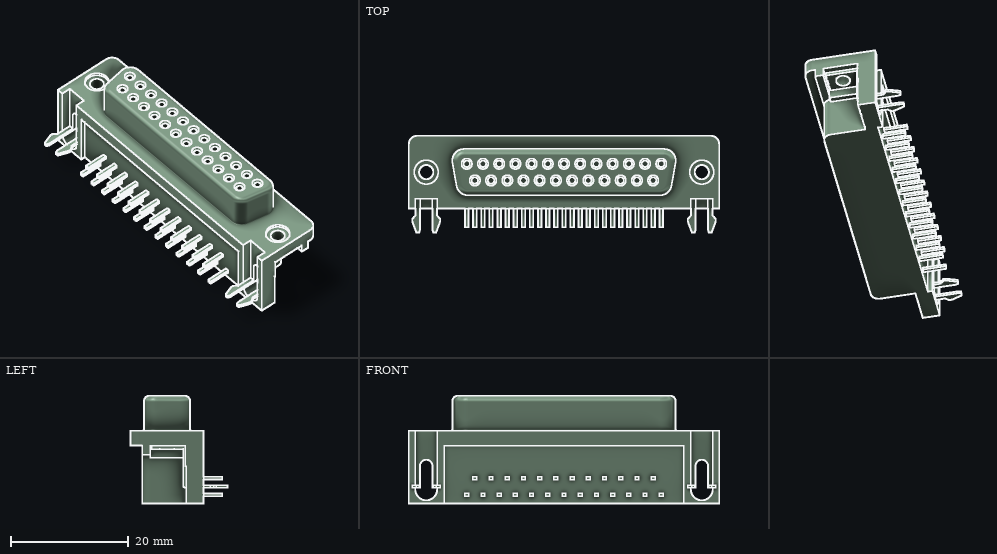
import cadquery as cq
import math


LENGTH = 53.1
DEPTH = 12.5
HEIGHT = 12.5
Y_FRONT = -DEPTH / 2
Y_BACK = DEPTH / 2
FLANGE_UNDERSIDE = 9.95
FLANGE_CORNER_RADIUS = 1.5
WALL_THICKNESS = 3.0
WALL_BACK = Y_FRONT + WALL_THICKNESS
WALL_STEP = 0.1
WALL_STEP_Z = 6.4
CORE_LENGTH = 40.9
CORE_BACK = 4.25
CORE_CORNER_RADIUS = 1.4
RIB_BOTTOM = 8.4
RIB_FRONT = CORE_BACK - CORE_CORNER_RADIUS
LEDGE_REACH = 1.0
LEDGE_LENGTH = CORE_LENGTH + 2 * LEDGE_REACH
LEDGE_BOTTOM = 7.85
RECESS_DEPTH = 0.8

TOTAL_HEIGHT = 18.5
SHELL_HALF_DEPTH = 3.96
SHELL_HALF_LENGTH = 19.48
SHELL_SIDE_ANGLE = 10
SHELL_CORNER_RADIUS = 2.0
SHELL_TOP_RADIUS = 1.0
SHELL_BASE_RADIUS = 0.2

PITCH = 2.77
ROW_SPACING = 2.84
BACK_ROW_COUNT = 13
FRONT_ROW_COUNT = 12
CONTACT_MOUTH_DIAMETER = 1.8
CONTACT_BORE_DIAMETER = 1.1
CONTACT_MOUTH_DEPTH = 0.35
CONTACT_DEPTH = 3.0
PIN_WIDTH = 0.65
PIN_HEIGHT = 0.5
PIN_LENGTH = 3.2
BOARD_LOCK_Z = 2.95

MOUNT_X = 23.55
SCREW_DIAMETER = 2.4
COUNTERBORE_DIAMETER = 4.1
COUNTERBORE_DEPTH = 0.5

CHANNEL_WIDTH = 3.7
CHANNEL_DEPTH = 1.7
CHANNEL_ARC_Z = 2.45
SLOT_WIDTH = 2.1
SLOT_TOP = 7.5

SHEET = 0.5
TOP_SHEET = 0.6
BEND_RADIUS = 0.45
LOCK_BACK = 2.65
PRONG_TIP_Y = Y_FRONT - 4.1
BARB_HALF_WIDTH = 2.4
BARB_START_Y = Y_FRONT - 1.15
BARB_PEAK_Y = Y_FRONT - 1.75
BARB_FALL_Y = Y_FRONT - 2.2
TIP_OUTER_HALF_WIDTH = 1.7
TIP_INNER_HALF_WIDTH = 1.2
TIP_BEVEL_Y = PRONG_TIP_Y + 0.5


def box(x_min, x_max, y_min, y_max, z_min, z_max):
    size = (x_max - x_min, y_max - y_min, z_max - z_min)
    return cq.Workplane("XY").box(*size, centered=False).translate((x_min, y_min, z_min))


def centred_box(x, width, y_min, y_max, z_min, z_max):
    return box(x - width / 2, x + width / 2, y_min, y_max, z_min, z_max)


def housing():
    flange = centred_box(0, LENGTH, Y_FRONT, Y_BACK, FLANGE_UNDERSIDE, HEIGHT)
    flange = flange.edges("|Z and >Y").fillet(FLANGE_CORNER_RADIUS)
    wall = centred_box(0, LENGTH, Y_FRONT, WALL_BACK, 0, HEIGHT)
    step = centred_box(0, LENGTH, WALL_BACK, WALL_BACK + WALL_STEP, WALL_STEP_Z, HEIGHT)
    core = centred_box(0, CORE_LENGTH, WALL_BACK, CORE_BACK, 0, HEIGHT)
    core = core.edges("|Z and >Y").fillet(CORE_CORNER_RADIUS)
    rib = centred_box(0, LENGTH, RIB_FRONT, CORE_BACK, RIB_BOTTOM, HEIGHT)
    ledge = centred_box(0, LEDGE_LENGTH, WALL_BACK + SHEET, RIB_FRONT, LEDGE_BOTTOM, HEIGHT)
    recess = centred_box(0, CORE_LENGTH, Y_FRONT, Y_FRONT + RECESS_DEPTH, 0, FLANGE_UNDERSIDE)
    return flange.union(wall).union(step).union(core).union(rib).union(ledge).cut(recess)


def shell():
    taper = 2 * SHELL_HALF_DEPTH * math.tan(math.radians(SHELL_SIDE_ANGLE))
    front_half_length = SHELL_HALF_LENGTH - taper
    corners = [
        (-SHELL_HALF_LENGTH, SHELL_HALF_DEPTH),
        (SHELL_HALF_LENGTH, SHELL_HALF_DEPTH),
        (front_half_length, -SHELL_HALF_DEPTH),
        (-front_half_length, -SHELL_HALF_DEPTH),
    ]
    block = cq.Workplane("XY").workplane(offset=HEIGHT).polyline(corners).close()
    block = block.extrude(TOTAL_HEIGHT - HEIGHT)
    block = block.edges("|Z").fillet(SHELL_CORNER_RADIUS)
    return block.faces(">Z").edges().fillet(SHELL_TOP_RADIUS)


def add_shell(body):
    joined = body.union(shell())
    margin = 0.1
    reach_x = SHELL_HALF_LENGTH
    reach_y = SHELL_HALF_DEPTH + margin
    base_edges = joined.edges(
        cq.selectors.BoxSelector(
            (-reach_x, -reach_y, HEIGHT - margin),
            (reach_x, reach_y, HEIGHT + margin),
            boundingbox=True,
        )
    )
    return base_edges.fillet(SHELL_BASE_RADIUS)


def row_positions(count):
    return [(i - (count - 1) / 2) * PITCH for i in range(count)]


def contact_holes():
    points = [(x, ROW_SPACING / 2) for x in row_positions(BACK_ROW_COUNT)]
    points += [(x, -ROW_SPACING / 2) for x in row_positions(FRONT_ROW_COUNT)]
    mouth = cq.Solid.makeCone(
        CONTACT_BORE_DIAMETER / 2,
        CONTACT_MOUTH_DIAMETER / 2,
        CONTACT_MOUTH_DEPTH,
        pnt=cq.Vector(0, 0, TOTAL_HEIGHT - CONTACT_MOUTH_DEPTH),
    )
    bore = cq.Solid.makeCylinder(
        CONTACT_BORE_DIAMETER / 2,
        CONTACT_DEPTH,
        cq.Vector(0, 0, TOTAL_HEIGHT - CONTACT_DEPTH),
    )
    contact = mouth.fuse(bore)
    return cq.Workplane("XY").pushPoints(points).eachpoint(lambda place: contact.moved(place))


def solder_pins():
    rows = [
        (BACK_ROW_COUNT, BOARD_LOCK_Z - ROW_SPACING / 2),
        (FRONT_ROW_COUNT, BOARD_LOCK_Z + ROW_SPACING / 2),
    ]
    points = [(x, z) for count, z in rows for x in row_positions(count)]
    pins = cq.Workplane("XZ", origin=(0, WALL_BACK, 0)).pushPoints(points)
    return pins.rect(PIN_WIDTH, PIN_HEIGHT).extrude(WALL_THICKNESS + PIN_LENGTH)


def screw_hole(x):
    bore = cq.Workplane("XY").center(x, 0).circle(SCREW_DIAMETER / 2).extrude(HEIGHT)
    seat = cq.Workplane("XY", origin=(x, 0, HEIGHT - COUNTERBORE_DEPTH))
    return bore.union(seat.circle(COUNTERBORE_DIAMETER / 2).extrude(COUNTERBORE_DEPTH))


def round_bottom_cut(x, z_top, y_length):
    half = CHANNEL_WIDTH / 2
    profile = (
        cq.Workplane("XZ", origin=(x, Y_FRONT + y_length, 0))
        .moveTo(-half, z_top)
        .lineTo(-half, CHANNEL_ARC_Z)
        .threePointArc((0, CHANNEL_ARC_Z - half), (half, CHANNEL_ARC_Z))
        .lineTo(half, z_top)
        .close()
    )
    return profile.extrude(y_length)


def narrow_slot(x):
    half = SLOT_WIDTH / 2
    profile = (
        cq.Workplane("XZ", origin=(x, WALL_BACK + SHEET, 0))
        .moveTo(-half, CHANNEL_ARC_Z)
        .lineTo(-half, SLOT_TOP - half)
        .threePointArc((0, SLOT_TOP), (half, SLOT_TOP - half))
        .lineTo(half, CHANNEL_ARC_Z)
        .close()
    )
    return profile.extrude(WALL_THICKNESS + SHEET)


def prong(x, side):
    outer = CHANNEL_WIDTH / 2
    inner = SLOT_WIDTH / 2
    outline = [
        (inner, WALL_BACK + SHEET),
        (outer, WALL_BACK + SHEET),
        (outer, BARB_START_Y),
        (BARB_HALF_WIDTH, BARB_PEAK_Y),
        (BARB_HALF_WIDTH, BARB_FALL_Y),
        (TIP_OUTER_HALF_WIDTH, PRONG_TIP_Y),
        (TIP_INNER_HALF_WIDTH, PRONG_TIP_Y),
        (inner, TIP_BEVEL_Y),
    ]
    points = [(x + side * offset, y) for offset, y in outline]
    bottom = BOARD_LOCK_Z - SHEET / 2
    blank = cq.Workplane("XY", origin=(0, 0, bottom)).polyline(points).close().extrude(SHEET)
    return blank.edges("|X and >Y and <Z").fillet(BEND_RADIUS)


def board_lock(x):
    sheet_front = WALL_BACK
    sheet_back = WALL_BACK + SHEET
    top_bottom = FLANGE_UNDERSIDE - TOP_SHEET
    prong_top = BOARD_LOCK_Z + SHEET / 2
    top = centred_box(x, CHANNEL_WIDTH, sheet_front, LOCK_BACK, top_bottom, FLANGE_UNDERSIDE)
    upright = centred_box(x, CHANNEL_WIDTH, sheet_front, sheet_back, prong_top, FLANGE_UNDERSIDE)
    lock = top.union(upright)
    return lock.union(prong(x, -1)).union(prong(x, 1))


result = add_shell(housing()).cut(contact_holes()).union(solder_pins())
for mount_x in (-MOUNT_X, MOUNT_X):
    result = result.cut(round_bottom_cut(mount_x, HEIGHT, CHANNEL_DEPTH))
    result = result.cut(round_bottom_cut(mount_x, BOARD_LOCK_Z, WALL_THICKNESS))
    result = result.union(board_lock(mount_x))
    result = result.cut(narrow_slot(mount_x)).cut(screw_hole(mount_x))